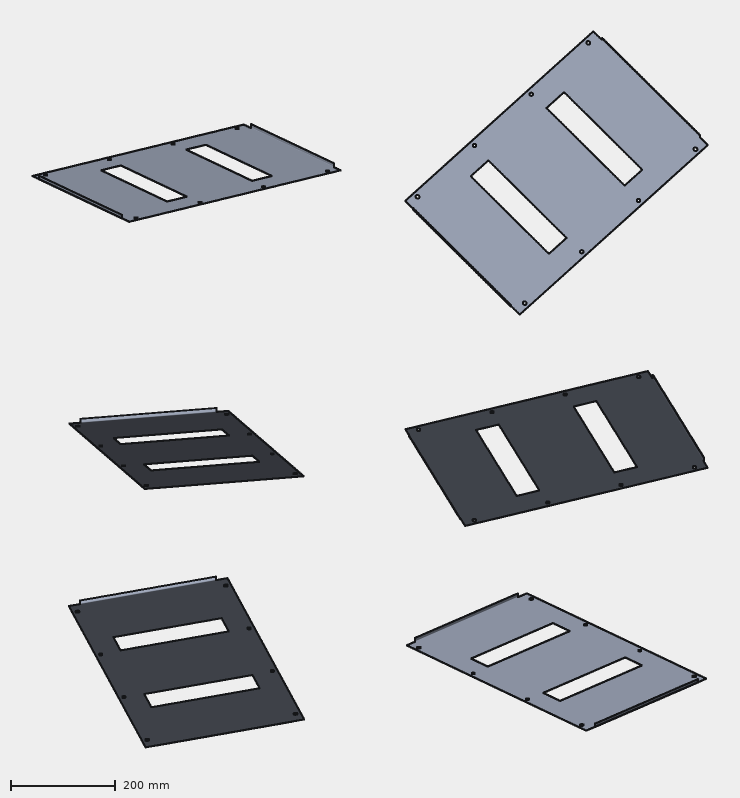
import cadquery as cq

width = 317.0
length = 499.0
height = 8.0

thickness = 1.0
bend_inner_radius = 0.5
bend_outer_radius = bend_inner_radius + thickness
flange_width = 271.5

window_width = 216.0
window_length = 46.5
window_offset = 100.0

hole_x = 148.0
round_hole_y = 75.0
slot_y = 225.0
hole_diameter = 6.5
slot_length = 7.5
slot_width = hole_diameter


def flat_plate():
    """Flat sheet whose ends stop where the bends begin."""
    plate_length = length - 2 * bend_outer_radius
    return cq.Workplane("XY").box(width, plate_length, thickness, centered=(True, True, False))


def folded_tray():
    """Central strip of sheet with both ends folded upward."""
    half = length / 2
    profile = (
        cq.Workplane("YZ")
        .moveTo(-half + bend_outer_radius, 0)
        .lineTo(half - bend_outer_radius, 0)
        .radiusArc((half, bend_outer_radius), -bend_outer_radius)
        .lineTo(half, height)
        .lineTo(half - thickness, height)
        .lineTo(half - thickness, bend_outer_radius)
        .radiusArc((half - bend_outer_radius, thickness), bend_inner_radius)
        .lineTo(-half + bend_outer_radius, thickness)
        .radiusArc((-half + thickness, bend_outer_radius), bend_inner_radius)
        .lineTo(-half + thickness, height)
        .lineTo(-half, height)
        .lineTo(-half, bend_outer_radius)
        .radiusArc((-half + bend_outer_radius, 0), -bend_outer_radius)
        .close()
    )
    return profile.extrude(flange_width / 2, both=True)


def windows():
    centers = [(0, -window_offset), (0, window_offset)]
    return cq.Workplane("XY").pushPoints(centers).rect(window_width, window_length).extrude(thickness)


def fixing_holes():
    sides = (-1, 1)
    round_centers = [(i * hole_x, j * round_hole_y) for i in sides for j in sides]
    slot_centers = [(i * hole_x, j * slot_y) for i in sides for j in sides]
    round_holes = cq.Workplane("XY").pushPoints(round_centers).circle(hole_diameter / 2).extrude(thickness)
    slots = cq.Workplane("XY").pushPoints(slot_centers).slot2D(slot_length, slot_width).extrude(thickness)
    return round_holes.union(slots)


sheet = flat_plate().union(folded_tray())
result = sheet.cut(windows()).cut(fixing_holes())